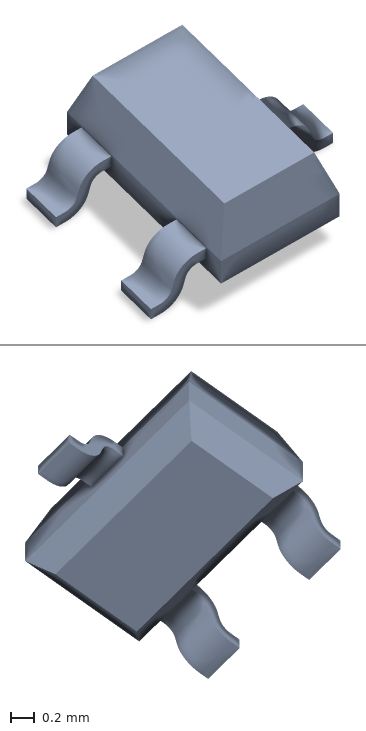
import cadquery as cq
import math

HOUSING_LENGTH = 2.11
HOUSING_WIDTH = 1.245
HOUSING_HEIGHT = 0.99
WAIST_BOTTOM = 0.23
WAIST_TOP = 0.509
TOP_INSET = 0.152
BOTTOM_INSET = 0.178

LEAD_SPAN = 2.41
LEAD_WIDTH = 0.407
LEAD_THICKNESS = 0.125
LEAD_TOP = 0.495
LEAD_FLAT = 0.096
INNER_BEND_RADIUS = 0.125
LEAD_OFFSET = 0.65

MARKER_DIAMETER = 0.105
MARKER_DEPTH = 0.012
MARKER_X = -LEAD_OFFSET
MARKER_Y = -0.342


def make_taper(start_z, end_z, inset):
    """Frustum from the full waist outline at start_z to an inset outline at end_z."""
    return (
        cq.Workplane("XY", origin=(0, 0, start_z))
        .rect(HOUSING_LENGTH, HOUSING_WIDTH)
        .workplane(offset=end_z - start_z)
        .rect(HOUSING_LENGTH - 2 * inset, HOUSING_WIDTH - 2 * inset)
        .loft(ruled=True)
    )


def make_marker():
    return (
        cq.Workplane("XY", origin=(MARKER_X, MARKER_Y, HOUSING_HEIGHT - MARKER_DEPTH))
        .circle(MARKER_DIAMETER / 2)
        .extrude(MARKER_DEPTH)
    )


def make_housing():
    waist = (
        cq.Workplane("XY", origin=(0, 0, WAIST_BOTTOM))
        .rect(HOUSING_LENGTH, HOUSING_WIDTH)
        .extrude(WAIST_TOP - WAIST_BOTTOM)
    )
    upper = make_taper(WAIST_TOP, HOUSING_HEIGHT, TOP_INSET)
    lower = make_taper(WAIST_BOTTOM, 0, BOTTOM_INSET)
    return waist.union(upper).union(lower).cut(make_marker())


def bend_angle(run, drop, radius_sum):
    """Turn angle of two opposite bends joined by a tangent straight, over the given run and drop."""
    straight = math.sqrt(run**2 + (radius_sum - drop) ** 2 - radius_sum**2)
    return math.atan2(run, radius_sum - drop) - math.atan2(straight, radius_sum)


def make_lead(x, side):
    """Lead centred on x; side is -1 for the -Y face and +1 for the +Y face."""
    face = HOUSING_WIDTH / 2
    tip = LEAD_SPAN / 2
    shoulder = face + LEAD_FLAT
    foot = tip - LEAD_FLAT
    inner = INNER_BEND_RADIUS
    outer = inner + LEAD_THICKNESS
    upper_centre_z = LEAD_TOP - outer
    lower_centre_z = outer
    angle = bend_angle(foot - shoulder, LEAD_TOP - LEAD_THICKNESS, inner + outer)

    def upper_bend(radius, turn):
        y = shoulder + radius * math.sin(turn)
        return side * y, upper_centre_z + radius * math.cos(turn)

    def lower_bend(radius, turn):
        y = foot - radius * math.sin(turn)
        return side * y, lower_centre_z - radius * math.cos(turn)

    profile = (
        cq.Workplane("YZ", origin=(x - LEAD_WIDTH / 2, 0, 0))
        .moveTo(side * face, LEAD_TOP)
        .lineTo(side * shoulder, LEAD_TOP)
        .threePointArc(upper_bend(outer, angle / 2), upper_bend(outer, angle))
        .lineTo(*lower_bend(inner, angle))
        .threePointArc(lower_bend(inner, angle / 2), lower_bend(inner, 0))
        .lineTo(side * tip, LEAD_THICKNESS)
        .lineTo(side * tip, 0)
        .lineTo(side * foot, 0)
        .threePointArc(lower_bend(outer, angle / 2), lower_bend(outer, angle))
        .lineTo(*upper_bend(inner, angle))
        .threePointArc(upper_bend(inner, angle / 2), upper_bend(inner, 0))
        .lineTo(side * face, LEAD_TOP - LEAD_THICKNESS)
        .close()
    )
    return profile.extrude(LEAD_WIDTH)


housing = make_housing()
marker = make_marker()

lead_places = [(-LEAD_OFFSET, -1), (LEAD_OFFSET, -1), (0, 1)]
leads = [make_lead(x, side).val() for x, side in lead_places]

result = cq.Compound.makeCompound([housing.val(), marker.val(), *leads])